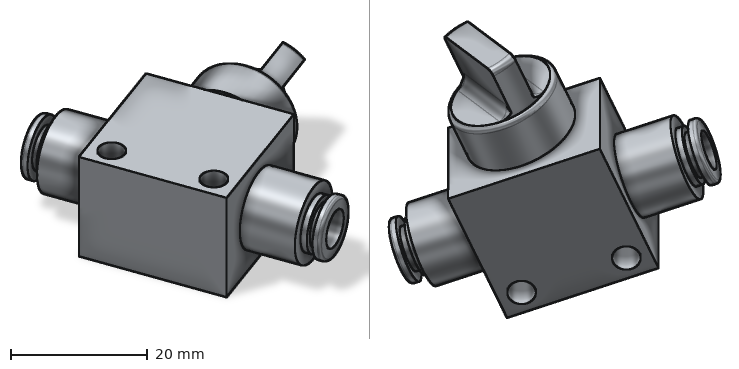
import cadquery as cq
import math

body_width = 23.9
body_height = 18.0
body_front = -11.0
body_back = 12.05
sleeve_radius = 6.45
sleeve_length = 8.9
mount_hole_radius = 2.1
mount_hole_x = 8.25
mount_hole_y = -7.55

overall_length = 48.6
collar_radius = 4.5
collar_length = 1.0
neck_radius = 3.5
flange_radius = 5.05
flange_length = 1.25
flange_fillet = 0.5
bore_radius = 3.0

stem_radius = 6.0
stem_length = 1.15
knob_radius = 8.55
knob_length = 7.95
knob_fillet = 0.9
blade_back = 30.05
blade_thickness = 4.1
blade_end_radius = 7.82
blade_corner_radius = 1.0
blade_root_radius = 1.95
blade_tilt = 60.0

sleeve_end = body_width / 2 + sleeve_length
collet_length = overall_length / 2 - sleeve_end
knob_front = body_back + stem_length
knob_back = knob_front + knob_length


def cylinder_along_y(radius, start, length):
    """Cylinder on the Y axis, growing toward +Y from start."""
    return cq.Workplane(cq.Solid.makeCylinder(radius, length, cq.Vector(0, start, 0), cq.Vector(0, 1, 0)))


def make_valve_body():
    """Block with a round sleeve on each side, two mounting holes through Z and blind collet recesses."""
    body_depth = body_back - body_front
    block = cq.Workplane("XY").box(body_width, body_depth, body_height)
    block = block.translate((0, (body_back + body_front) / 2, 0))
    sleeves = cq.Workplane("YZ").circle(sleeve_radius).extrude(sleeve_end, both=True)
    mount_holes = (
        cq.Workplane("XY")
        .pushPoints([(-mount_hole_x, mount_hole_y), (mount_hole_x, mount_hole_y)])
        .circle(mount_hole_radius)
        .extrude(body_height, both=True)
    )
    valve = block.union(sleeves).cut(mount_holes)
    for side in (-1, 1):
        recess = cq.Workplane("YZ", origin=(side * body_width / 2, 0, 0)).circle(collar_radius)
        valve = valve.cut(recess.extrude(side * sleeve_length))
    return valve


def make_collet(side):
    """Bored collet with seated collar, neck and rounded flange; side is +1 or -1 along X."""
    flange_start = collet_length - flange_length
    collar = cq.Workplane("YZ", origin=(-sleeve_length, 0, 0)).circle(collar_radius)
    collar = collar.extrude(sleeve_length + collar_length)
    neck = cq.Workplane("YZ").circle(neck_radius).extrude(collet_length)
    flange = cq.Workplane("YZ", origin=(flange_start, 0, 0)).circle(flange_radius).extrude(flange_length)
    flange = flange.faces(">X").edges().fillet(flange_fillet)
    bore = cq.Workplane("YZ").circle(bore_radius).extrude(sleeve_length + collet_length, both=True)
    collet = collar.union(neck).union(flange).cut(bore)
    collet = collet.translate((sleeve_end, 0, 0))
    if side < 0:
        collet = collet.rotate((0, 0, 0), (0, 0, 1), 180)
    return collet


def make_blade_root():
    """Post with rounded corners and a concave fillet at its foot, trimmed to the blade's round ends."""
    plate_front = knob_back - knob_fillet
    post_width = 2 * math.sqrt(blade_end_radius**2 - (blade_thickness / 2) ** 2)
    post_length = knob_fillet + 2 * blade_root_radius
    plate = cylinder_along_y(2 * blade_end_radius, plate_front, knob_fillet)
    post = cq.Workplane("XY").box(blade_thickness, post_length, post_width)
    post = post.translate((0, plate_front + post_length / 2, 0))
    post = post.edges("|Y").fillet(blade_corner_radius)
    foot_box = cq.selectors.BoxSelector(
        (-blade_thickness, knob_back - knob_fillet / 2, -blade_end_radius),
        (blade_thickness, knob_back + knob_fillet / 2, blade_end_radius),
        boundingbox=True,
    )
    flared_post = plate.union(post).edges(foot_box).fillet(blade_root_radius)
    root_length = knob_fillet + blade_root_radius
    return flared_post.intersect(cylinder_along_y(blade_end_radius, plate_front, root_length))


def make_blade():
    """Grip blade with round ends, rounded corners and a flared root, tilted about Y."""
    grip_front = knob_back - knob_fillet
    grip_length = blade_back - grip_front
    slab = cq.Workplane("XY").box(blade_thickness, grip_length, 2 * blade_end_radius)
    slab = slab.translate((0, grip_front + grip_length / 2, 0))
    round_ends = cylinder_along_y(blade_end_radius, grip_front, grip_length)
    round_ends = round_ends.faces(">Y").edges().fillet(blade_corner_radius)
    blade = slab.intersect(round_ends).union(make_blade_root())
    return blade.rotate((0, 0, 0), (0, 1, 0), 90 - blade_tilt)


def make_knob():
    """Stem seated on the block, filleted round base and grip blade."""
    stem = cylinder_along_y(stem_radius, body_back, stem_length)
    base = cylinder_along_y(knob_radius, knob_front, knob_length)
    base = base.faces(">Y").edges().fillet(knob_fillet)
    return stem.union(base).union(make_blade())


valve_body = make_valve_body()
knob = make_knob()
collets = [make_collet(side) for side in (-1, 1)]

result = cq.Compound.makeCompound(
    [valve_body.val(), knob.val(), *[collet.val() for collet in collets]]
)